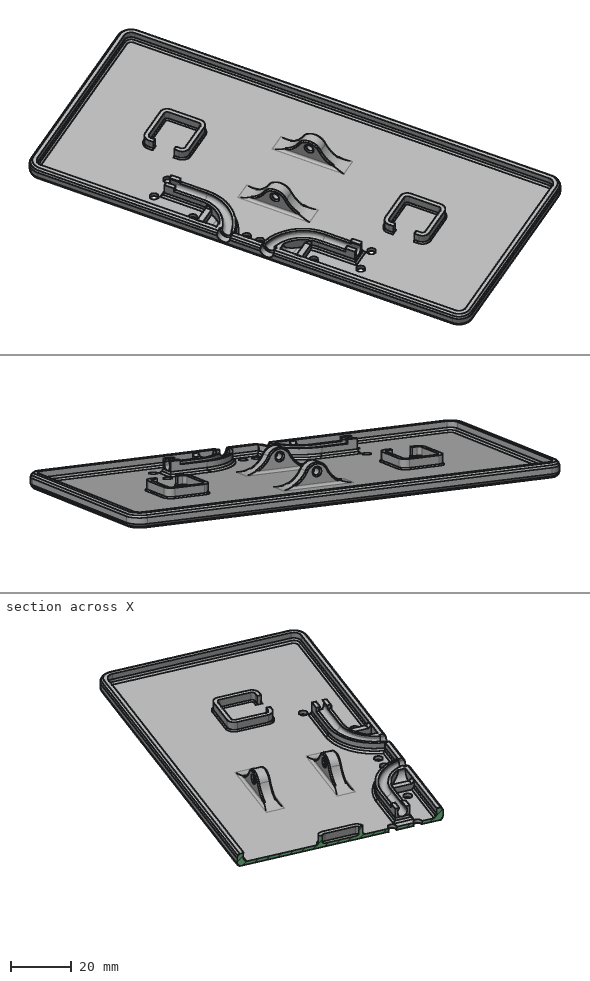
import cadquery as cq
import math

SLOPED_STEP = 0.7
STEEP_INSET = 0.3
STEEP_HEIGHT = 0.8
BEVEL_INSET = SLOPED_STEP + STEEP_INSET
BEVEL_HEIGHT = SLOPED_STEP + STEEP_HEIGHT

LENGTH = 163.0
WIDTH = 74.2
RIM_TOP = 5.0
CORNER_RADIUS = 5.0
FLOOR_TOP = 1.5
WALL = 2.5
WALL_FACE_Y = WALL - WIDTH / 2

LUG_TOP = 9.5
LUG_Y = 12.7
LUG_LENGTH = 26.4
LUG_THICKNESS = 4.5
LUG_FOOT_RADIUS = 1.0
LUG_TIP_RADIUS = 4.5
LUG_CHAMFER = 0.5
LUG_BORE = 2.5
LUG_BORE_Z = 6.4

CLIP_X = 44.3
CLIP_Y = -0.2
CLIP_SIZE = 16.3
CLIP_WALL = 1.5
CLIP_TOP = 4.9
CLIP_CORNER_RADIUS = 2.6
CLIP_GAP = 7.7
CLIP_FOOT = 0.5

CHANNEL_END_X = -35.2
CHANNEL_Y = -23.6
CHANNEL_WIDTH = 5.2
CHANNEL_SIDE_Y = CHANNEL_Y - CHANNEL_WIDTH / 2
BEND_X = -21.7
BEND_RADIUS = 14.0
EXIT_X = BEND_X + BEND_RADIUS
GROOVE_RADIUS = 1.6
GROOVE_Z = 4.4
NOTCH_X = -8.0
NOTCH_RADIUS = 2.5
NOTCH_Z = 4.2

HOOK_TOP = 6.5
HOOK_LENGTH = 3.6
HOOK_STEM = 1.0
HOOK_LIP = 0.5
HOOK_LIP_HEIGHT = 1.0

RIB_X = -19.4
RIB_THICKNESS = 2.1
RIB_END_X = RIB_X + RIB_THICKNESS
RIB_TOP = 3.7
RIB_END_SLOPE = 1.0
POCKET_END_X = -11.7
POCKET_RADIUS = 3.1

HOLE_DIAMETER = 3.0
HOLE_PLACES = [(37.7, -18.9), (38.1, -27.9), (22.3, -31.0), (2.5, -31.0)]


def slab(length, width, radius, bottom, height, inset=0.0):
    """Rounded rectangular slab whose outline shrinks by inset over its height."""
    outline = cq.Sketch().rect(length, width)
    if radius > 0:
        outline = outline.vertices().fillet(radius)
    taper = math.degrees(math.atan2(inset, height))
    return cq.Workplane("XY", origin=(0, 0, bottom)).placeSketch(outline).extrude(height, taper=taper)


def bevelled_block(length, width, radius, bottom, top):
    """Straight-sided block that narrows to its top through the two bevel facets."""
    steep_z = top - BEVEL_HEIGHT
    sloped_z = top - SLOPED_STEP
    cut = 2 * STEEP_INSET
    straight = slab(length, width, radius, bottom, steep_z - bottom)
    steep = slab(length, width, radius, steep_z, STEEP_HEIGHT, STEEP_INSET)
    sloped = slab(length - cut, width - cut, radius - STEEP_INSET, sloped_z, SLOPED_STEP, SLOPED_STEP)
    return straight.union(steep).union(sloped)


def make_tray():
    middle = RIM_TOP / 2
    upper = bevelled_block(LENGTH, WIDTH, CORNER_RADIUS, middle, RIM_TOP)
    body = upper.union(upper.mirror("XY", (0, 0, middle)))
    cavity = bevelled_block(
        LENGTH - 2 * WALL, WIDTH - 2 * WALL, CORNER_RADIUS - WALL, -RIM_TOP, -FLOOR_TOP
    ).mirror("XY")
    return body.cut(cavity)


def lug_profile(thickness):
    """Side outline of a lug: rounded tip running through concave flanks down to the floor."""
    half = LUG_LENGTH / 2
    tip_z = LUG_TOP - LUG_TIP_RADIUS
    rise = tip_z - FLOOR_TOP
    flank_radius = (half**2 + rise**2 - LUG_TIP_RADIUS**2) / (2 * (LUG_TIP_RADIUS + rise))
    flank_z = FLOOR_TOP + flank_radius
    share = LUG_TIP_RADIUS / (LUG_TIP_RADIUS + flank_radius)
    join_x = half * share
    join_z = tip_z + (flank_z - tip_z) * share
    return (
        cq.Workplane("XZ", origin=(0, thickness / 2, 0))
        .moveTo(-half, 0)
        .lineTo(-half, FLOOR_TOP)
        .radiusArc((-join_x, join_z), -flank_radius)
        .threePointArc((0, LUG_TOP), (join_x, join_z))
        .radiusArc((half, FLOOR_TOP), -flank_radius)
        .lineTo(half, 0)
        .close()
        .extrude(thickness)
    )


def make_lug():
    side_y = LUG_THICKNESS / 2
    foot_y = side_y + LUG_FOOT_RADIUS
    foot_top = FLOOR_TOP + LUG_FOOT_RADIUS
    foot_section = (
        cq.Workplane("YZ", origin=(-LUG_LENGTH / 2, 0, 0))
        .moveTo(-foot_y, 0)
        .lineTo(-foot_y, FLOOR_TOP)
        .radiusArc((-side_y, foot_top), -LUG_FOOT_RADIUS)
        .lineTo(side_y, foot_top)
        .radiusArc((foot_y, FLOOR_TOP), -LUG_FOOT_RADIUS)
        .lineTo(foot_y, 0)
        .close()
        .extrude(LUG_LENGTH)
    )
    foot = lug_profile(2 * foot_y).intersect(foot_section)
    bore = (
        cq.Workplane("XZ", origin=(0, side_y, LUG_BORE_Z))
        .circle(LUG_BORE / 2)
        .extrude(LUG_THICKNESS)
    )
    plate = lug_profile(LUG_THICKNESS).cut(bore)
    plate = plate.faces("<Y or >Y").edges("%CIRCLE").chamfer(LUG_CHAMFER)
    return plate.union(foot)


def make_clip():
    inner_size = CLIP_SIZE - 2 * CLIP_WALL
    inner_radius = CLIP_CORNER_RADIUS - CLIP_WALL
    height = CLIP_TOP - FLOOR_TOP
    foot_size = CLIP_SIZE + 2 * CLIP_FOOT
    foot_radius = CLIP_CORNER_RADIUS + CLIP_FOOT
    outside = slab(CLIP_SIZE, CLIP_SIZE, CLIP_CORNER_RADIUS, FLOOR_TOP, height)
    outside = outside.union(slab(foot_size, foot_size, foot_radius, FLOOR_TOP, CLIP_FOOT, CLIP_FOOT))
    inside = slab(inner_size, inner_size, inner_radius, FLOOR_TOP, height)
    inside = inside.faces("<Z").edges().chamfer(CLIP_FOOT)
    gap = cq.Workplane("XY").center(0, -CLIP_SIZE / 2).rect(CLIP_GAP, CLIP_SIZE / 2).extrude(RIM_TOP)
    return outside.cut(inside).cut(gap)


def sweep_along_channel(section, z):
    """Sweep a section drawn at the outer channel end along the straight run and the bend."""
    path = (
        cq.Workplane("XY", origin=(0, 0, z))
        .moveTo(CHANNEL_END_X, CHANNEL_Y)
        .lineTo(BEND_X, CHANNEL_Y)
        .radiusArc((EXIT_X, CHANNEL_Y - BEND_RADIUS), BEND_RADIUS)
    )
    return section.sweep(path)


def channel_plane(z):
    return cq.Workplane("YZ", origin=(CHANNEL_END_X, CHANNEL_Y, z))


def make_channel_wall():
    side = CHANNEL_WIDTH / 2
    half_outline = [
        (side + BEVEL_INSET, 0),
        (side + STEEP_INSET, SLOPED_STEP),
        (side, BEVEL_HEIGHT),
        (side, RIM_TOP - FLOOR_TOP),
    ]
    outline = half_outline + [(-y, z) for y, z in reversed(half_outline)]
    wall = sweep_along_channel(channel_plane(FLOOR_TOP).polyline(outline).close(), FLOOR_TOP)

    run = BEND_X - CHANNEL_END_X
    low = slab(run + 2 * BEVEL_INSET, CHANNEL_WIDTH + 2 * BEVEL_INSET, 0, FLOOR_TOP, SLOPED_STEP, SLOPED_STEP)
    high = slab(
        run + 2 * STEEP_INSET, CHANNEL_WIDTH + 2 * STEEP_INSET, 0,
        FLOOR_TOP + SLOPED_STEP, STEEP_HEIGHT, STEEP_INSET,
    )
    end_foot = low.union(high).translate(((CHANNEL_END_X + BEND_X) / 2, CHANNEL_Y, 0))

    beyond_wall = (
        cq.Workplane("XY", origin=(0, WALL_FACE_Y - WALL / 2 - WIDTH / 2, 0))
        .rect(LENGTH, WIDTH)
        .extrude(RIM_TOP)
    )
    return wall.union(end_foot).cut(beyond_wall)


def bend_disc(radius):
    """Upright disc concentric with the bend."""
    center = (BEND_X, CHANNEL_Y - BEND_RADIUS, 0)
    return cq.Workplane("XY", origin=center).circle(radius).extrude(RIM_TOP)


def make_web():
    """Filled corner between bend and front wall, with a lower rib at its outer end."""
    fill_size = (EXIT_X - RIB_END_X, CHANNEL_Y - WALL_FACE_Y, RIM_TOP - FLOOR_TOP)
    fill = cq.Workplane("XY").box(*fill_size, centered=False).translate((RIB_END_X, WALL_FACE_Y, FLOOR_TOP))
    fill = fill.intersect(bend_disc(BEND_RADIUS))
    rib = (
        cq.Workplane("YZ", origin=(RIB_X, 0, 0))
        .polyline([
            (WALL_FACE_Y, FLOOR_TOP),
            (WALL_FACE_Y, RIB_TOP + RIB_END_SLOPE),
            (WALL_FACE_Y + RIB_END_SLOPE, RIB_TOP),
            (CHANNEL_SIDE_Y - RIB_END_SLOPE, RIB_TOP),
            (CHANNEL_SIDE_Y, RIB_TOP + RIB_END_SLOPE),
            (CHANNEL_SIDE_Y, FLOOR_TOP),
        ])
        .close()
        .extrude(RIB_THICKNESS)
    )
    return fill.union(rib)


def make_pocket():
    """Space between rib and bend; its floor curves up toward the middle of the tray."""
    profile = (
        cq.Workplane("XZ", origin=(0, CHANNEL_SIDE_Y, 0))
        .moveTo(RIB_END_X, FLOOR_TOP)
        .lineTo(POCKET_END_X - POCKET_RADIUS, FLOOR_TOP)
        .radiusArc((POCKET_END_X, FLOOR_TOP + POCKET_RADIUS), -POCKET_RADIUS)
        .lineTo(POCKET_END_X, RIM_TOP)
        .lineTo(RIB_END_X, RIM_TOP)
        .close()
    )
    return profile.extrude(CHANNEL_SIDE_Y - WALL_FACE_Y).intersect(bend_disc(BEND_RADIUS - CHANNEL_WIDTH / 2))


def make_groove():
    section = (
        channel_plane(GROOVE_Z)
        .moveTo(-GROOVE_RADIUS, 0)
        .threePointArc((0, -GROOVE_RADIUS), (GROOVE_RADIUS, 0))
        .lineTo(GROOVE_RADIUS, HOOK_TOP - GROOVE_Z)
        .lineTo(-GROOVE_RADIUS, HOOK_TOP - GROOVE_Z)
        .close()
    )
    groove = sweep_along_channel(section, GROOVE_Z)
    notch = (
        cq.Workplane("XZ", origin=(NOTCH_X, WALL_FACE_Y, 0))
        .moveTo(-NOTCH_RADIUS, NOTCH_Z)
        .threePointArc((0, NOTCH_Z - NOTCH_RADIUS), (NOTCH_RADIUS, NOTCH_Z))
        .lineTo(NOTCH_RADIUS, RIM_TOP)
        .lineTo(-NOTCH_RADIUS, RIM_TOP)
        .close()
        .extrude(WALL)
    )
    return groove.union(notch)


def make_hook(side):
    outer = CHANNEL_WIDTH / 2
    stem = outer - HOOK_STEM
    outline = [
        (outer, RIM_TOP - HOOK_STEM),
        (outer, HOOK_TOP),
        (stem - HOOK_LIP, HOOK_TOP),
        (stem, HOOK_TOP - HOOK_LIP_HEIGHT),
        (stem, RIM_TOP - HOOK_STEM),
    ]
    return channel_plane(0).polyline([(side * y, z) for y, z in outline]).close().extrude(HOOK_LENGTH)


def both_sides(solid):
    return solid.union(solid.mirror("YZ"))


groove = make_groove()
channel = make_channel_wall().union(make_web()).cut(groove)
channel = channel.union(make_hook(1)).union(make_hook(-1))
clip = make_clip().translate((CLIP_X, CLIP_Y, 0))

result = make_tray().cut(both_sides(groove))
result = result.union(both_sides(channel)).cut(both_sides(make_pocket()))
result = result.union(both_sides(clip))
for side in (1, -1):
    result = result.union(make_lug().translate((0, side * LUG_Y, 0)))
    holes = cq.Workplane("XY").pushPoints([(side * x, y) for x, y in HOLE_PLACES])
    result = result.cut(holes.circle(HOLE_DIAMETER / 2).extrude(RIM_TOP))